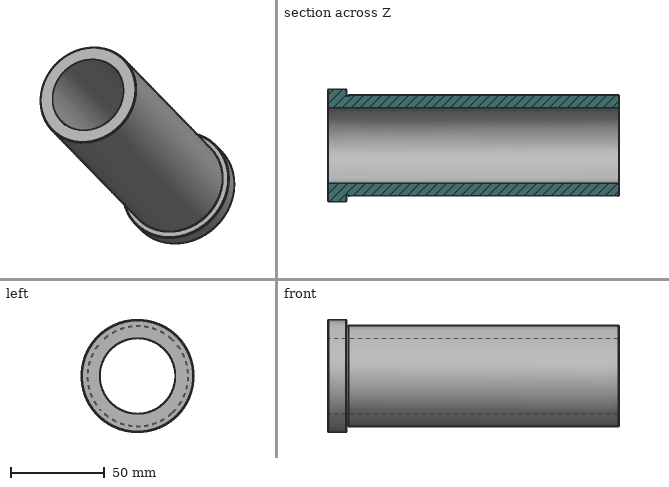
import cadquery as cq

total_length = 155.0

flange_diameter = 60.0
flange_length = 10.0
flange_chamfer = 0.5

body_diameter = 54.0
lead_in_length = 4.0
end_chamfer = 0.5

relief_depth = 0.5
relief_width = 1.0

bore_diameter = 40.0
bore_mouth_chamfer = 0.2
guide_length = 20.0

flange_radius = flange_diameter / 2
body_radius = body_diameter / 2
relief_radius = body_radius - relief_depth
bore_radius = bore_diameter / 2
body_start = flange_length + relief_width
lead_in_start = total_length - lead_in_length


def flange_outline():
    """(x, radius) points over the chamfered flange, from its face to its back."""
    return [
        (0, flange_radius - flange_chamfer),
        (flange_chamfer, flange_radius),
        (flange_length - flange_chamfer, flange_radius),
        (flange_length, flange_radius - flange_chamfer),
    ]


def body_outline():
    """(x, radius) points along the relief, body and lead-in to the free end."""
    return [
        (flange_length, relief_radius),
        (body_start, relief_radius),
        (body_start, body_radius),
        (lead_in_start, body_radius),
        (total_length - end_chamfer, body_radius),
        (total_length, body_radius - end_chamfer),
    ]


def bore_outline():
    """(x, radius) points back along the bore to its chamfered mouth in the flange."""
    return [
        (total_length, bore_radius),
        (guide_length, bore_radius),
        (bore_mouth_chamfer, bore_radius),
        (0, bore_radius + bore_mouth_chamfer),
    ]


def make_bushing():
    """Revolve the closed wall section about the X axis."""
    section = cq.Workplane("XY").polyline(flange_outline() + body_outline() + bore_outline()).close()
    return section.revolve(360, (0, 0, 0), (1, 0, 0), clean=False)


result = make_bushing()